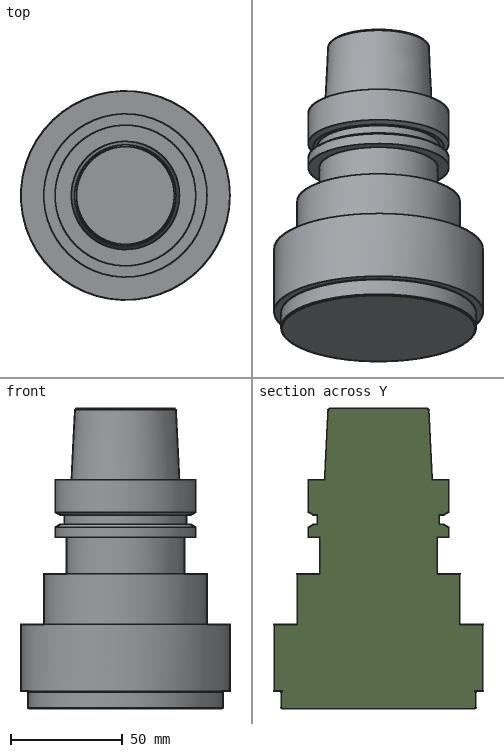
import cadquery as cq
import math

total_height = 134.5

spigot_diameter = 87.4
spigot_height = 8.0
spigot_chamfer = 0.5

body_diameter = 93.6
body_top = 37.8
shoulder_diameter = 73.0
shoulder_top = 60.4
neck_diameter = 53.0

flange_diameter = 62.9
flange_bottom = 76.6
flange_top = 102.5
groove_diameter = 54.9
groove_center = 84.6
groove_width = 4
groove_flare_height = 1.3
groove_flare_angle = 30

taper_base_diameter = 48.4
taper_end_diameter = 45.3
taper_chamfer = 0.8


def cylinder(diameter, bottom, top):
    """Solid cylinder on the Z axis between two heights."""
    return cq.Workplane("XY").workplane(offset=bottom).circle(diameter / 2).extrude(top - bottom)


def flange_groove():
    """Ring cutter for the gripper groove, flared where it opens at the flange rim."""
    rim_radius = flange_diameter / 2
    flare_radius = rim_radius - groove_flare_height / math.tan(math.radians(groove_flare_angle))
    groove_radius = groove_diameter / 2
    half_width = groove_width / 2
    half_mouth = half_width + groove_flare_height
    outline = [
        (groove_radius, groove_center - half_width),
        (flare_radius, groove_center - half_width),
        (rim_radius, groove_center - half_mouth),
        (rim_radius, groove_center + half_mouth),
        (flare_radius, groove_center + half_width),
        (groove_radius, groove_center + half_width),
    ]
    return cq.Workplane("XZ").polyline(outline).close().revolve(360, (0, 0, 0), (0, 1, 0))


def taper_shank():
    """Conical shank with a chamfered free end."""
    chamfer_start = total_height - taper_chamfer
    outline = [
        (0, flange_top),
        (taper_base_diameter / 2, flange_top),
        (taper_end_diameter / 2, chamfer_start),
        (taper_end_diameter / 2 - taper_chamfer, total_height),
        (0, total_height),
    ]
    return cq.Workplane("XZ").polyline(outline).close().revolve(360, (0, 0, 0), (0, 1, 0))


spigot = cylinder(spigot_diameter, 0, spigot_height).edges().chamfer(spigot_chamfer)
body = cylinder(body_diameter, spigot_height, body_top)
shoulder = cylinder(shoulder_diameter, body_top, shoulder_top)
neck = cylinder(neck_diameter, shoulder_top, flange_bottom)
flange = cylinder(flange_diameter, flange_bottom, flange_top).cut(flange_groove())

result = spigot.union(body).union(shoulder).union(neck).union(flange).union(taper_shank())